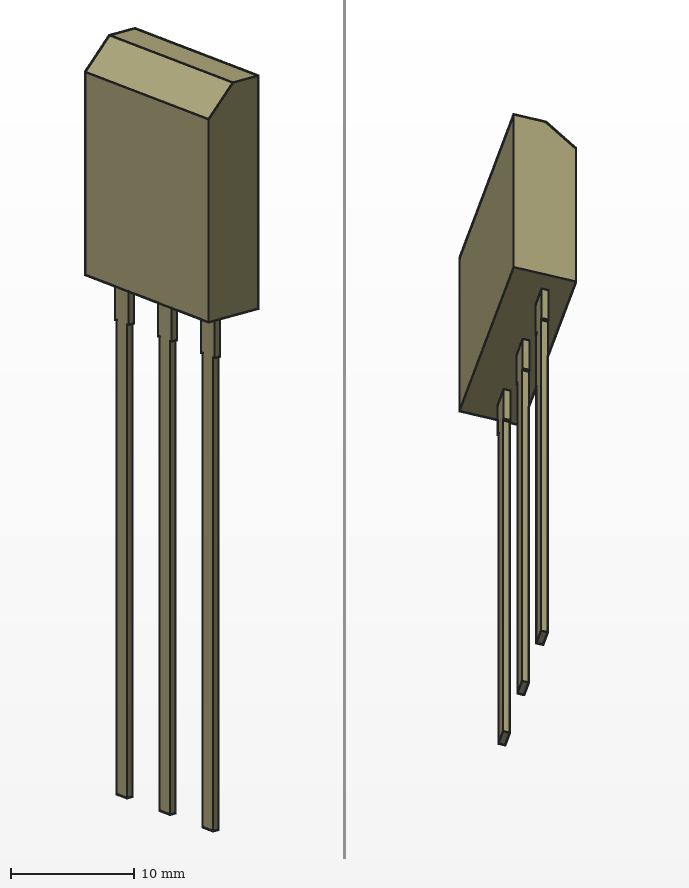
import cadquery as cq

total_height = 64.6
housing_width = 15.6
housing_depth = 5.3
housing_height = 20.0
chamfer_size = 2.6

lead_count = 3
lead_pitch = 5.4
lead_thickness = 0.6
shoulder_width = 1.75
shoulder_length = 3.9
leg_width = 1.35
lead_setback = 2.2

lead_length = total_height - housing_height
lead_y = -housing_depth / 2 + lead_setback


def make_housing():
    """Block standing on Z = 0 with its top front edge bevelled."""
    block = cq.Workplane("XY").box(
        housing_width, housing_depth, housing_height, centered=(True, True, False)
    )
    return block.faces(">Z").edges("<Y").chamfer(chamfer_size)


def make_lead(x):
    """Flat stepped lead hanging from the housing's underside at the given X."""
    half_shoulder = shoulder_width / 2
    half_leg = leg_width / 2
    outline = [
        (-half_shoulder, 0),
        (half_shoulder, 0),
        (half_shoulder, -shoulder_length),
        (half_leg, -shoulder_length),
        (half_leg, -lead_length),
        (-half_leg, -lead_length),
        (-half_leg, -shoulder_length),
        (-half_shoulder, -shoulder_length),
    ]
    blade = cq.Workplane("XZ").polyline(outline).close().extrude(lead_thickness / 2, both=True)
    return blade.translate((x, lead_y, 0))


housing = make_housing()

leads = []
for index in range(lead_count):
    lead_x = (index - (lead_count - 1) / 2) * lead_pitch
    leads.append(make_lead(lead_x))

result = cq.Compound.makeCompound([housing.val(), *[lead.val() for lead in leads]])